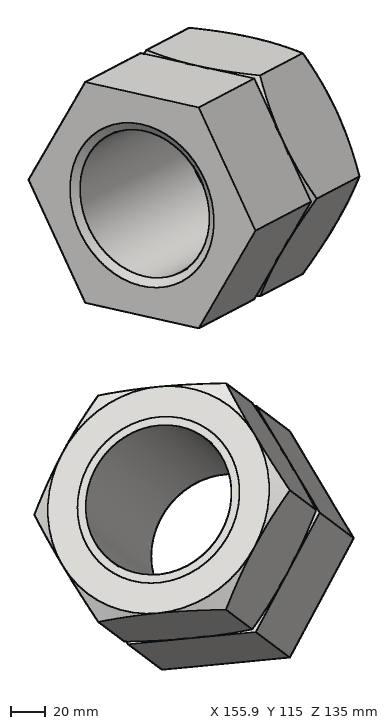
import cadquery as cq
import math

across_corners = 155.9
across_flats = across_corners * math.cos(math.radians(30))
total_length = 115.0
nut_length = 56.9
head_length = total_length - nut_length

bore_diameter = 88.9
bore_radius = bore_diameter / 2

countersink_diameter = 98.8
countersink_radius = countersink_diameter / 2
countersink_angle = 30.0
countersink_depth = (countersink_radius - bore_radius) * math.tan(math.radians(countersink_angle))

sleeve_radius = countersink_radius

corner_chamfer_angle = 30.0
corner_radius = across_corners / 2
face_radius = across_flats / 2
corner_chamfer_height = (corner_radius - face_radius) * math.tan(math.radians(corner_chamfer_angle))


def plane_across_y(y):
    """Workplane normal to the Y axis; a negative extrusion runs along +Y."""
    return cq.Workplane("XZ", origin=(0, y, 0))


def hexagon_bar(start, length):
    """Hexagonal bar from Y = start along +Y, with two corners in the plane Z = 0."""
    return plane_across_y(start).polygon(6, across_corners).extrude(-length)


def round_bar(start, length, radius):
    """Round bar from Y = start along +Y."""
    return plane_across_y(start).circle(radius).extrude(-length)


def turned(profile):
    """Solid of revolution about the Y axis from (radius, Y) points."""
    return cq.Workplane("XY").polyline(profile).close().revolve(360, (0, 0), (0, 1))


def countersink_cutter():
    """Cone frustum that widens the bore at the front face, Y = 0."""
    return turned([
        (0, 0),
        (countersink_radius, 0),
        (bore_radius, countersink_depth),
        (0, countersink_depth),
    ])


def corner_envelope(start, length):
    """Disc coned at both ends, which trims the corners of a hexagon inside it."""
    end = start + length
    return turned([
        (0, start),
        (face_radius, start),
        (corner_radius, start + corner_chamfer_height),
        (corner_radius, end - corner_chamfer_height),
        (face_radius, end),
        (0, end),
    ])


def make_headed_sleeve():
    """Sharp-cornered hexagon head with its sleeve, bored through and countersunk in front."""
    head = hexagon_bar(0, head_length)
    sleeve = round_bar(head_length, nut_length, sleeve_radius)
    bore = round_bar(0, total_length, bore_radius)
    return head.union(sleeve).cut(bore).cut(countersink_cutter())


def make_nut():
    """Hexagon nut around the sleeve, with its corners chamfered at both ends."""
    blank = hexagon_bar(head_length, nut_length)
    chamfered = blank.intersect(corner_envelope(head_length, nut_length))
    return chamfered.cut(round_bar(head_length, nut_length, sleeve_radius))


headed_sleeve = make_headed_sleeve()
nut = make_nut()

result = cq.Compound.makeCompound([headed_sleeve.solids().val(), nut.solids().val()])